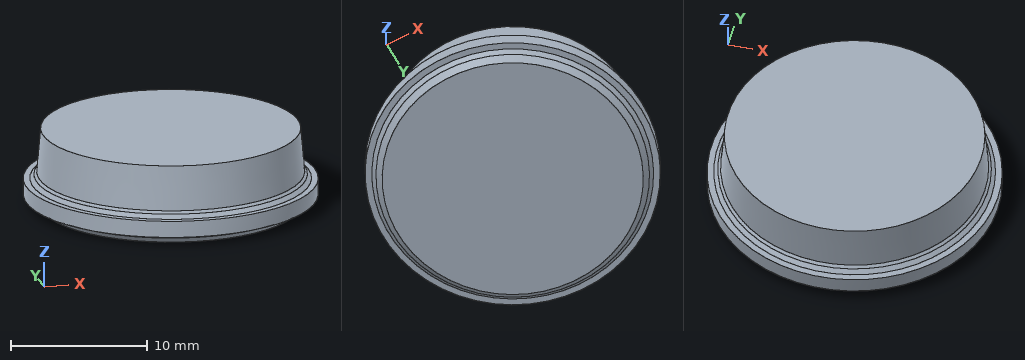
import cadquery as cq

height = 5.85
ring_diameter = 21.7
plug_diameter = 20.1
top_diameter = 19.15

lower_joint = 0.45
upper_joint = 2.3

ring_slope = 0.3
shoulder_slope = 0.2

ring_radius = ring_diameter / 2
plug_radius = plug_diameter / 2
top_radius = top_diameter / 2


def revolve_profile(points):
    """Turn a closed (radius, height) outline around the Z axis."""
    return cq.Workplane("XZ").polyline(points).close().revolve(360, (0, 0), (0, 1))


def make_plug():
    """Solid plug with a bevelled foot, a bevelled shoulder and a tapered upper part."""
    return revolve_profile([
        (0, 0),
        (plug_radius - lower_joint, 0),
        (plug_radius, lower_joint),
        (plug_radius, upper_joint),
        (plug_radius - shoulder_slope, upper_joint + shoulder_slope),
        (top_radius, height),
        (0, height),
    ])


def make_ring():
    """Ring around the plug, with a flat-sided rim and a sloped lip above and below it."""
    lip_radius = plug_radius + ring_slope
    rim_bottom = lower_joint + ring_slope
    rim_top = upper_joint - ring_slope
    return revolve_profile([
        (plug_radius, lower_joint),
        (lip_radius, rim_bottom),
        (ring_radius, rim_bottom),
        (ring_radius, rim_top),
        (lip_radius, rim_top),
        (plug_radius, upper_joint),
    ])


plug = make_plug()
ring = make_ring()
result = cq.Compound.makeCompound([plug.val(), ring.val()])